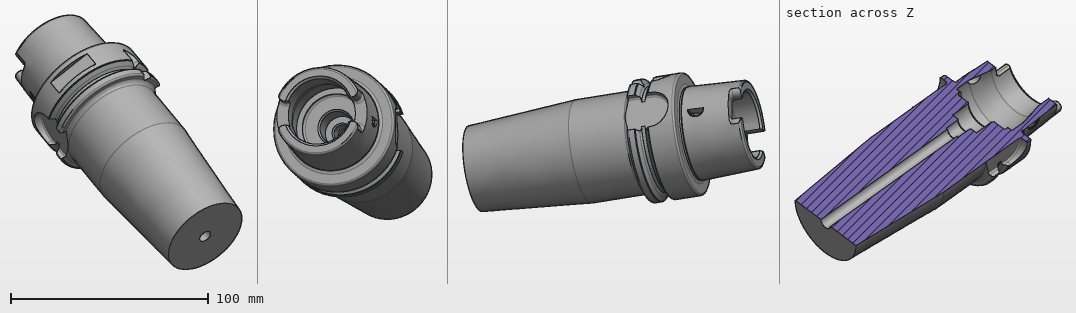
import cadquery as cq
import math


length = 147.0
flange_radius = 63.0 / 2
body_radius = 53.0 / 2
nose_radius = 22.0
nose_cone_start = 89.4

shank_length = 31.9
taper_end = 30.1
taper_large_radius = 48.2 / 2
taper_small_radius = 22.8
shank_edge_round = 1.0
relief_radius = 23.8
relief_start = 30.6
relief_end = 31.5
face_relief_radius = 25.6

flange_edge_round = 1.0
groove_centre = 49.7
groove_width = 7.5
groove_edge_run = 0.5
groove_edge_drop = 0.3
groove_step_width = 3.5
groove_step_radius = 29.0
groove_floor_width = 1.8
groove_floor_radius = 27.5
flange_back = 57.6
flange_back_round = 1.0
flare_radius = 2.2

flare_end = flange_back + flare_radius

bore_radius = 34.0 / 2
bore_mouth_chamfer = 1.2
bore_depth = 36.8
undercut_radius = 40.0 / 2
undercut_start = 13.0
undercut_full = 25.7
undercut_end = 34.5
bore_floor_round = 0.9
pocket_radius = 17.0 / 2
pocket_depth = 11.8
pocket_chamfer = 0.9
screw_hole_mouth_radius = 10.0 / 2
screw_hole_radius = 8.4 / 2
screw_hole_depth = 8.8
passage_radius = 6.6 / 2

key_half_width = 6.3
key_depth_back = 5.7
key_depth_front = 9.8
key_mouth_round = 2.8
key_end_round = 1.3

cross_hole_x = 23.0
cross_hole_radius = 7.5 / 2
cross_hole_mouth_radius = 8.4 / 2
cross_hole_mouth_y = 23.0

driver_half_width = 10.0
driver_floor_y = body_radius
driver_floor_round = 0.9
slot_centre_x = 45.0
notch_half_width = 8.0
notch_centre_z = 27.8
notch_floor_y = 20.1
flat_left = 35.5
flat_right = 43.5
flat_tilt = 22.0

cut_reach = 2 * flange_radius


def turned_body():
    """Solid of revolution: shank, relief, grooved flange, body and tapered nose."""
    groove_section = [
        (groove_width / 2, flange_radius),
        (groove_width / 2 - groove_edge_run, flange_radius - groove_edge_drop),
        (groove_step_width / 2, groove_step_radius),
        (groove_floor_width / 2, groove_floor_radius),
    ]
    groove_left_side = [(groove_centre - offset, radius) for offset, radius in groove_section]
    groove_right_side = [(groove_centre + offset, radius) for offset, radius in reversed(groove_section)]
    return (
        cq.Workplane("XY")
        .moveTo(0, 0)
        .lineTo(0, taper_small_radius - shank_edge_round)
        .radiusArc((shank_edge_round, taper_small_radius), shank_edge_round)
        .lineTo(taper_end, taper_large_radius)
        .lineTo(relief_start, relief_radius)
        .lineTo(relief_end, relief_radius)
        .lineTo(shank_length, face_relief_radius)
        .lineTo(shank_length, flange_radius - flange_edge_round)
        .radiusArc((shank_length + flange_edge_round, flange_radius), flange_edge_round)
        .polyline(groove_left_side + groove_right_side, includeCurrent=True)
        .lineTo(flange_back - flange_back_round, flange_radius)
        .radiusArc((flange_back, flange_radius - flange_back_round), flange_back_round)
        .lineTo(flange_back, body_radius + flare_radius)
        .radiusArc((flare_end, body_radius), -flare_radius)
        .lineTo(nose_cone_start, body_radius)
        .lineTo(length, nose_radius)
        .lineTo(length, 0)
        .close()
        .revolve(360, (0, 0, 0), (1, 0, 0))
    )


def bore():
    """Stepped hollow running the whole length, with an undercut behind the shank mouth."""
    pocket_floor = bore_depth + pocket_depth
    screw_hole_chamfer = screw_hole_mouth_radius - screw_hole_radius
    screw_hole_end = pocket_floor + screw_hole_depth
    return (
        cq.Workplane("XY")
        .moveTo(0, 0)
        .lineTo(0, bore_radius + bore_mouth_chamfer)
        .lineTo(bore_mouth_chamfer, bore_radius)
        .lineTo(undercut_start, bore_radius)
        .lineTo(undercut_full, undercut_radius)
        .lineTo(undercut_end, undercut_radius)
        .lineTo(undercut_end, bore_radius)
        .lineTo(bore_depth - bore_floor_round, bore_radius)
        .radiusArc((bore_depth, bore_radius - bore_floor_round), bore_floor_round)
        .lineTo(bore_depth, pocket_radius + pocket_chamfer)
        .lineTo(bore_depth + pocket_chamfer, pocket_radius)
        .lineTo(pocket_floor, pocket_radius)
        .lineTo(pocket_floor, screw_hole_mouth_radius)
        .lineTo(pocket_floor + screw_hole_chamfer, screw_hole_radius)
        .lineTo(screw_hole_end, screw_hole_radius)
        .lineTo(screw_hole_end, passage_radius)
        .lineTo(length, passage_radius)
        .lineTo(length, 0)
        .close()
        .revolve(360, (0, 0, 0), (1, 0, 0))
    )


def key_slot(side, depth):
    """Slot in one side of the shank end whose walls round over into the shank surface."""
    round_centre_z = key_half_width + key_mouth_round
    round_centre_y = math.sqrt((taper_small_radius - key_mouth_round) ** 2 - round_centre_z**2)
    mouth_angle = math.atan2(round_centre_z, round_centre_y)

    def mouth_point(angle):
        return (
            side * (round_centre_y + key_mouth_round * math.cos(angle)),
            round_centre_z + key_mouth_round * math.sin(angle),
        )

    end_y, end_z = mouth_point(mouth_angle)
    middle_y, middle_z = mouth_point((mouth_angle - math.pi / 2) / 2)
    start_y = side * round_centre_y
    slot = (
        cq.Workplane("YZ")
        .moveTo(0, -key_half_width)
        .lineTo(start_y, -key_half_width)
        .threePointArc((middle_y, -middle_z), (end_y, -end_z))
        .lineTo(side * cut_reach, -end_z)
        .lineTo(side * cut_reach, end_z)
        .lineTo(end_y, end_z)
        .threePointArc((middle_y, middle_z), (start_y, key_half_width))
        .lineTo(0, key_half_width)
        .close()
        .extrude(depth)
    )
    return slot.faces(">X").edges("not |Z").fillet(key_end_round)


def round_ended_slot(centre_z, half_width, floor_y, side):
    """Slot open toward +X with a round end toward -X, running outward along Y."""
    return (
        cq.Workplane("XZ", origin=(slot_centre_x, floor_y, centre_z))
        .moveTo(0, -half_width)
        .threePointArc((-half_width, 0), (0, half_width))
        .lineTo(flare_end - slot_centre_x, half_width)
        .lineTo(flare_end - slot_centre_x, -half_width)
        .close()
        .extrude(-side * cut_reach)
    )


def driver_slot(side):
    """Drive slot in the flange with a rounded corner around its floor."""
    slot = round_ended_slot(0, driver_half_width, side * driver_floor_y, side)
    floor_face = "<Y" if side > 0 else ">Y"
    return slot.faces(floor_face).edges().fillet(driver_floor_round)


def cross_hole(side):
    """Lower half of a radial hole with a countersunk mouth."""
    chamfer = cross_hole_mouth_radius - cross_hole_radius
    hole = (
        cq.Workplane("XY")
        .moveTo(cross_hole_x, 0)
        .lineTo(cross_hole_x + cross_hole_radius, 0)
        .lineTo(cross_hole_x + cross_hole_radius, side * (cross_hole_mouth_y - chamfer))
        .lineTo(cross_hole_x + cross_hole_mouth_radius, side * cross_hole_mouth_y)
        .lineTo(cross_hole_x + cross_hole_mouth_radius, side * cut_reach)
        .lineTo(cross_hole_x, side * cut_reach)
        .close()
        .revolve(360, (cross_hole_x, 0, 0), (cross_hole_x, 1, 0))
    )
    lower_half = cq.Workplane("XY").box(length, 2 * cut_reach, cut_reach, centered=(False, True, False))
    lower_half = lower_half.translate((0, 0, -cut_reach))
    return hole.intersect(lower_half)


def label_flat():
    """Cutter for a flat on top of the flange, leaning toward -Y."""
    chord_height = flange_radius * math.cos(math.radians(flat_tilt))
    return (
        cq.Workplane("XY")
        .box(flat_right - flat_left, cut_reach, cut_reach, centered=(False, True, False))
        .translate((flat_left, 0, chord_height))
        .rotate((0, 0, 0), (1, 0, 0), flat_tilt)
    )


result = turned_body().cut(bore())
result = result.cut(key_slot(1, key_depth_back)).cut(key_slot(-1, key_depth_front))
for side in (1, -1):
    result = result.cut(driver_slot(side)).cut(cross_hole(side))
result = result.cut(round_ended_slot(notch_centre_z, notch_half_width, notch_floor_y, 1))
result = result.cut(label_flat())